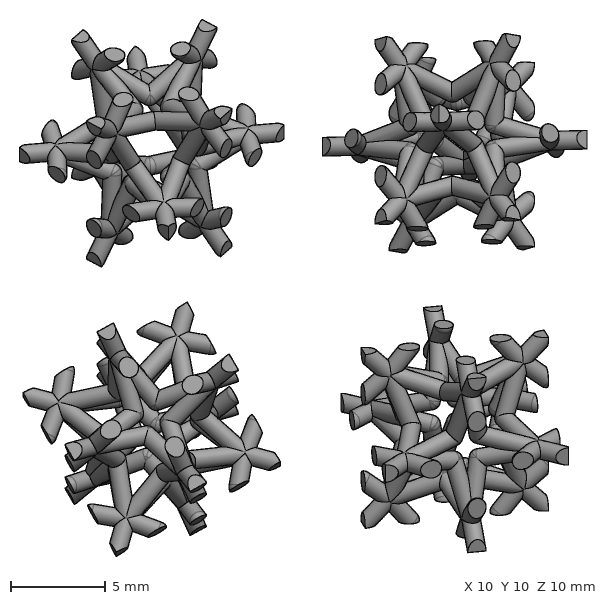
import cadquery as cq

cell_size = 10
half_cell = cell_size / 2
strut_diameter = 1
strut_radius = strut_diameter / 2

hub_offset = 3.59
elbow_near = 0.68
elbow_far = 2.52
side_tip_offset = 2.43

SIGNS = (1, -1)
ORIGIN = (0, 0, 0)


def strut(start, end):
    """Round bar from start to end."""
    axis = cq.Vector(*end) - cq.Vector(*start)
    return cq.Solid.makeCylinder(strut_radius, axis.Length, cq.Vector(*start), axis)


def rounded_strut(start, end):
    """Round bar from start to end, with a domed end."""
    axis = cq.Vector(*end) - cq.Vector(*start)
    end_frame = cq.Plane(origin=end, normal=axis)
    dome = cq.Workplane(end_frame).sphere(strut_radius).val()
    return strut(start, end).fuse(dome)


def branch_sector():
    """Share of the cell that belongs to one branch: |X| is below both Y and Z."""
    triangle = [(0, 0), (half_cell, half_cell), (-half_cell, half_cell)]
    below_y = cq.Workplane("XY").polyline(triangle).close().extrude(half_cell)
    below_z = cq.Workplane("XZ").polyline(triangle).close().extrude(-half_cell)
    return below_y.intersect(below_z).val()


def branch():
    """Hub in the plane X=0 with its seven struts, trimmed to its sector of the cell."""
    hub = (0, hub_offset, hub_offset)
    struts = [
        strut(hub, (0, half_cell, half_cell)),
        rounded_strut(hub, (0, side_tip_offset, half_cell)),
        rounded_strut(hub, (0, half_cell, side_tip_offset)),
    ]
    for sign in SIGNS:
        struts.append(rounded_strut(hub, (sign * elbow_near, elbow_near, elbow_far)))
        struts.append(rounded_strut(hub, (sign * elbow_near, elbow_far, elbow_near)))
    return cq.Workplane(obj=struts[0].fuse(*struts[1:]).intersect(branch_sector()))


around_x = [branch().rotate(ORIGIN, (1, 0, 0), quarter * 90) for quarter in range(4)]
branches = []
for third in range(3):
    branches += [arm.rotate(ORIGIN, (1, 1, 1), third * 120).val() for arm in around_x]

result = cq.Workplane(obj=branches[0].fuse(*branches[1:]).clean())